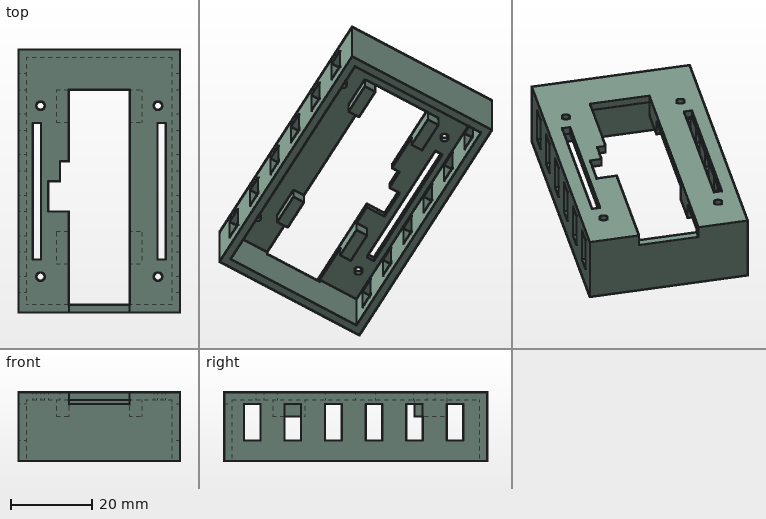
import cadquery as cq

WIDTH = 40.0
LENGTH = 65.0
HEIGHT = 17.0
WALL = 2.0

OPENING_WIDTH = 15.0
OPENING_BACK_MARGIN = 10.0
FRONT_NOTCH_DEPTH = 3.0

STEP_SHALLOW_X = 10.35
STEP_DEEP_X = 7.4
STEP_START = 27.6
STEP_MIDDLE = 32.55
STEP_END = 40.0

HOLE_DIAMETER = 2.0
HOLE_SPACING_X = 29.0
HOLE_BACK_MARGIN = 13.9
HOLE_SPACING_Y = 42.2
SLOT_WIDTH = 2.0
SLOT_SIDE_MARGIN = 3.6
SLOT_LENGTH = 33.6
SLOT_BACK_MARGIN = 18.2

WINDOW_COUNT = 6
WINDOW_WIDTH = 4.0
WINDOW_HEIGHT = 9.0
WINDOW_PITCH = 10.0
WINDOW_BACK_MARGIN = 6.0
WINDOW_TOP_MARGIN = 3.0

BLOCK_WIDTH = 3.0
BLOCK_LENGTH = 8.0
BLOCK_DROP = 4.0
BLOCK_BACK_MARGINS = (OPENING_BACK_MARGIN, 45.0)

LEFT = -WIDTH / 2
BACK = LENGTH / 2
FRONT = -LENGTH / 2
ROOF_UNDERSIDE = HEIGHT - WALL


def box_between(x_range, y_range, z_range):
    """Axis-aligned box spanning the given coordinate ranges."""
    (x0, x1), (y0, y1), (z0, z1) = x_range, y_range, z_range
    return cq.Workplane("XY").box(x1 - x0, y1 - y0, z1 - z0, centered=False).translate((x0, y0, z0))


def make_shell():
    outer = cq.Workplane("XY").box(WIDTH, LENGTH, HEIGHT, centered=(True, True, False))
    cavity = cq.Workplane("XY").box(
        WIDTH - 2 * WALL, LENGTH - 2 * WALL, ROOF_UNDERSIDE, centered=(True, True, False)
    )
    return outer.cut(cavity)


def add_blocks(body):
    inner = OPENING_WIDTH / 2
    outer = inner + BLOCK_WIDTH
    z_range = (ROOF_UNDERSIDE - BLOCK_DROP, ROOF_UNDERSIDE)
    for margin in BLOCK_BACK_MARGINS:
        y_end = BACK - margin
        for x_range in ((-outer, -inner), (inner, outer)):
            body = body.union(box_between(x_range, (y_end - BLOCK_LENGTH, y_end), z_range))
    return body


def cut_opening(body):
    half = OPENING_WIDTH / 2
    roof = (ROOF_UNDERSIDE, HEIGHT)
    body = body.cut(box_between((-half, half), (FRONT + WALL, BACK - OPENING_BACK_MARGIN), roof))
    body = body.cut(
        box_between((-half, half), (FRONT, FRONT + WALL), (HEIGHT - FRONT_NOTCH_DEPTH, HEIGHT))
    )
    for edge, start, end in (
        (STEP_SHALLOW_X, STEP_START, STEP_MIDDLE),
        (STEP_DEEP_X, STEP_MIDDLE, STEP_END),
    ):
        body = body.cut(box_between((LEFT + edge, -half), (BACK - end, BACK - start), roof))
    return body


def cut_holes_and_slots(body):
    back_row = BACK - HOLE_BACK_MARGIN
    roof = (ROOF_UNDERSIDE, HEIGHT)
    holes = (
        cq.Workplane("XY", origin=(0, back_row - HOLE_SPACING_Y / 2, ROOF_UNDERSIDE))
        .rarray(HOLE_SPACING_X, HOLE_SPACING_Y, 2, 2)
        .circle(HOLE_DIAMETER / 2)
        .extrude(WALL)
    )
    body = body.cut(holes)
    slot_end = BACK - SLOT_BACK_MARGIN
    for x0 in (LEFT + SLOT_SIDE_MARGIN, -LEFT - SLOT_SIDE_MARGIN - SLOT_WIDTH):
        body = body.cut(box_between((x0, x0 + SLOT_WIDTH), (slot_end - SLOT_LENGTH, slot_end), roof))
    return body


def cut_windows(body):
    top = HEIGHT - WINDOW_TOP_MARGIN
    for index in range(WINDOW_COUNT):
        y_end = BACK - WINDOW_BACK_MARGIN - index * WINDOW_PITCH
        for x0 in (LEFT, -LEFT - WALL):
            body = body.cut(
                box_between((x0, x0 + WALL), (y_end - WINDOW_WIDTH, y_end), (top - WINDOW_HEIGHT, top))
            )
    return body


result = make_shell()
result = add_blocks(result)
result = cut_opening(result)
result = cut_holes_and_slots(result)
result = cut_windows(result)